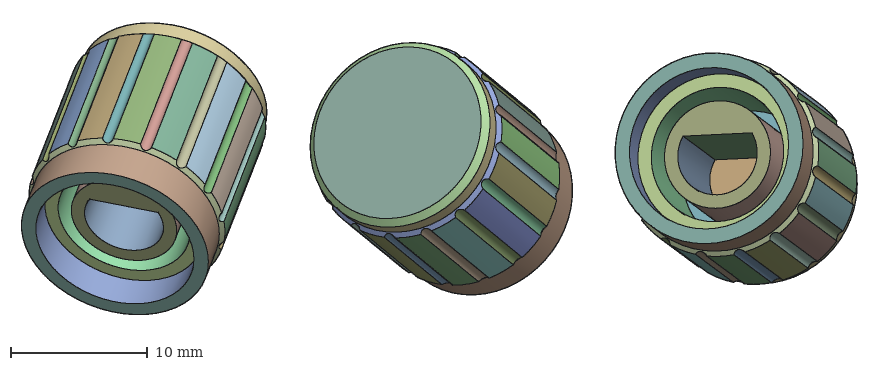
import cadquery as cq
import math

length = 16.6
body_diameter = 14.2
grip_diameter = 14.85
grip_start = 3.0
grip_end = 14.9
grip_chamfer = (grip_diameter - body_diameter) / 2
cap_chamfer = 0.5

flute_count = 16
flute_radius = 0.5
flute_depth = 0.25

recess_diameter = 12.0
recess_depth = 2.5
moat_outer_diameter = 10.0
hub_diameter = 8.0
moat_depth = 9.5
shaft_diameter = 6.0
shaft_flat_height = 1.5
socket_depth = 9.5


def cylinder(diameter, start, end):
    """Solid cylinder along +Y between two Y positions."""
    plane = cq.Workplane("XZ", origin=(0, start, 0))
    return plane.circle(diameter / 2).extrude(start - end)


def make_body():
    body = cylinder(body_diameter, 0, length)
    return body.faces(">Y").chamfer(cap_chamfer)


def make_grip():
    grip = cylinder(grip_diameter, grip_start, grip_end)
    grip = grip.faces("<Y or >Y").chamfer(grip_chamfer)
    flute_circle_radius = grip_diameter / 2 - flute_depth + flute_radius
    half_pitch = 180 / flute_count
    flutes = (
        cq.Workplane("XZ", origin=(0, grip_start, 0))
        .polarArray(flute_circle_radius, half_pitch, 360, flute_count)
        .circle(flute_radius)
        .extrude(grip_start - grip_end)
    )
    return grip.cut(flutes)


def make_moat():
    """Ring-shaped clearance around the hub."""
    moat_end = recess_depth + moat_depth
    outer = cylinder(moat_outer_diameter, recess_depth, moat_end)
    return outer.cut(cylinder(hub_diameter, recess_depth, moat_end))


def make_socket():
    """D-shaped shaft hole with its flat facing +Z."""
    shaft_radius = shaft_diameter / 2
    half_flat = math.sqrt(shaft_radius**2 - shaft_flat_height**2)
    return (
        cq.Workplane("XZ", origin=(0, recess_depth, 0))
        .moveTo(-half_flat, shaft_flat_height)
        .threePointArc((0, -shaft_radius), (half_flat, shaft_flat_height))
        .close()
        .extrude(-socket_depth)
    )


recess = cylinder(recess_diameter, 0, recess_depth)
result = make_body().union(make_grip()).cut(recess).cut(make_moat()).cut(make_socket())